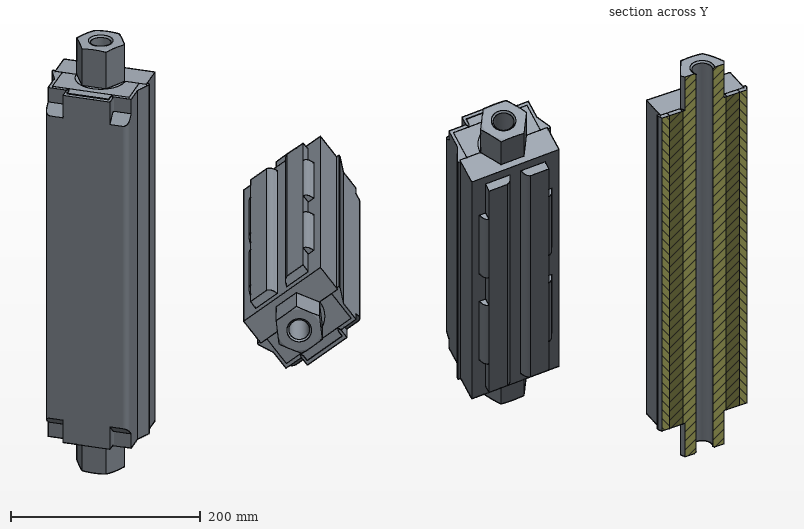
import cadquery as cq
import math

total_length = 500.0
housing_length = 412.0

hex_across_flats = 46.0
hex_across_corners = hex_across_flats / math.cos(math.pi / 6)
hex_top_diameter = hex_across_flats
hex_chamfer_drop = 1.0
bore_diameter = 22.0
bore_chamfer = 2.0
journal_diameter = 54.0

block_width = 101.0
block_back = 30.5

insert_width = 85.0
insert_front = -34.5

cover_width = 92.0
cover_front = -49.5
cover_corner_radius = 6.0
wing_span = 107.0
wing_back = 2.0
wing_bend = -0.5
wing_root = -16.5

notch_inner_x = 26.0
notch_back = -38.5
notch_floor_length = 17.0
notch_length = 27.5
notch_corner_radius = 1.5

lip_side_inset = 3.0
lip_front_inset = 4.5
lip_flare = 1.5
lip_drop = 1.0

pad_back = 39.5
pad_half_length = 192.5
pad_end_draft = 1.5
pad_outer_x = 34.5
pad_inner_x = 6.0

pad_edge_run = 7.5
pad_arc_drop = 6.0
pad_arc_run = 6.0
pad_arc_mid_drop = 2.5
pad_arc_mid_run = 4.0

lobe_outer_x = pad_outer_x + pad_edge_run
lobe_start = 26.0
lobe_end = 137.5


def extrude_centred(sketch, length):
    """Extrude an XY outline symmetrically about Z = 0."""
    return sketch.extrude(length / 2, both=True)


def make_bar():
    """Hexagonal bar with chamfered ends, a through bore and a half-round journal in the housing."""
    bar = extrude_centred(cq.Workplane("XY").polygon(6, hex_across_corners), total_length)
    half = total_length / 2
    corner_radius = hex_across_corners / 2
    end_cone = (
        cq.Workplane("XZ")
        .moveTo(0, -half)
        .lineTo(hex_top_diameter / 2, -half)
        .lineTo(corner_radius, -half + hex_chamfer_drop)
        .lineTo(corner_radius, half - hex_chamfer_drop)
        .lineTo(hex_top_diameter / 2, half)
        .lineTo(0, half)
        .close()
        .revolve(360, (0, 0, 0), (0, 1, 0))
    )
    bar = bar.intersect(end_cone).union(make_half_journal())
    bore = extrude_centred(cq.Workplane("XY").circle(bore_diameter / 2), total_length)
    bar = bar.cut(bore)
    bore_rims = cq.selectors.RadiusNthSelector(0)
    return bar.faces("<Z or >Z").edges("%CIRCLE").edges(bore_rims).chamfer(bore_chamfer)


def make_half_journal():
    """Half cylinder on the -Y side, as long as the housing."""
    radius = journal_diameter / 2
    outline = cq.Workplane("XY").moveTo(-radius, 0).threePointArc((0, -radius), (radius, 0)).close()
    return extrude_centred(outline, housing_length)


def make_block():
    """Rear block with a half-hexagonal groove for the bar."""
    block = extrude_centred(
        cq.Workplane("XY").center(0, block_back / 2).rect(block_width, block_back), housing_length)
    groove = extrude_centred(cq.Workplane("XY").polygon(6, hex_across_corners), housing_length)
    return block.cut(groove)


def make_insert():
    """Rectangular insert between the bar and the cover."""
    depth = -insert_front
    insert = extrude_centred(
        cq.Workplane("XY").center(0, -depth / 2).rect(insert_width, depth), housing_length)
    return insert.cut(make_half_journal())


def make_cover():
    """Channel-shaped cover with side wings lapping the block and notched front corners."""
    right = [
        (cover_width / 2, cover_front),
        (cover_width / 2, wing_root),
        (wing_span / 2, wing_bend),
        (wing_span / 2, wing_back),
        (block_width / 2, wing_back),
        (block_width / 2, 0),
        (insert_width / 2, 0),
        (insert_width / 2, insert_front),
    ]
    left = [(-x, y) for x, y in reversed(right)]
    cover = extrude_centred(cq.Workplane("XY").polyline(right + left).close(), housing_length)
    cover = cover.edges("|Z and <Y").fillet(cover_corner_radius)
    for end in (-1, 1):
        cover = cover.cut(make_tab_relief(end))
        for side in (-1, 1):
            cover = cover.cut(make_notch(side, end))
    return cover


def make_notch(side, end):
    """Corner notch with a sloping floor, at the given X side and Z end."""
    tip = end * housing_length / 2
    notch_width = cover_width / 2 - notch_inner_x
    notch = (
        cq.Workplane("YZ", origin=(side * notch_inner_x, 0, 0))
        .moveTo(cover_front, tip)
        .lineTo(notch_back, tip)
        .lineTo(notch_back, tip - end * notch_floor_length)
        .lineTo(cover_front, tip - end * notch_length)
        .close()
        .extrude(side * notch_width)
    )
    inner_corner = cq.selectors.NearestToPointSelector(
        (side * notch_inner_x, notch_back, tip - end * notch_floor_length / 2))
    return notch.edges(inner_corner).fillet(notch_corner_radius)


def make_tab_relief(end):
    """Shallow step around the free edges of the tab between the two notches of one end."""
    tip = end * housing_length / 2
    core_x = notch_inner_x - lip_side_inset
    core_front = cover_front + lip_front_inset
    return (
        cq.Workplane("XY", origin=(0, 0, tip))
        .polyline([
            (-notch_inner_x, notch_back),
            (-notch_inner_x, cover_front),
            (notch_inner_x, cover_front),
            (notch_inner_x, notch_back),
            (core_x + lip_flare, insert_front),
            (core_x, notch_back),
            (core_x, core_front),
            (-core_x, core_front),
            (-core_x, notch_back),
            (-core_x - lip_flare, insert_front),
        ])
        .close()
        .extrude(-end * lip_drop)
    )


def make_pad(side):
    """Rear pad with a rounded inner edge and two rounded lobes on its outer edge."""
    arc_mid_y = pad_back - pad_arc_mid_drop
    arc_end_y = pad_back - pad_arc_drop
    flat_start = pad_inner_x + pad_edge_run
    body = extrude_centred(
        cq.Workplane("XY")
        .moveTo(side * pad_outer_x, block_back)
        .lineTo(side * pad_outer_x, pad_back)
        .lineTo(side * flat_start, pad_back)
        .threePointArc(
            (side * (flat_start - pad_arc_mid_run), arc_mid_y),
            (side * (flat_start - pad_arc_run), arc_end_y))
        .lineTo(side * pad_inner_x, block_back)
        .close(),
        2 * pad_half_length,
    )
    rear_half_length = pad_half_length - pad_end_draft
    drafted_ends = (
        cq.Workplane("YZ")
        .polyline([
            (block_back, -pad_half_length),
            (pad_back, -rear_half_length),
            (pad_back, rear_half_length),
            (block_back, pad_half_length),
        ])
        .close()
        .extrude(side * lobe_outer_x)
    )
    pad = body.intersect(drafted_ends)
    for lobe_base in (-lobe_end, lobe_start):
        lobe = (
            cq.Workplane("XY", origin=(0, 0, lobe_base))
            .moveTo(side * pad_outer_x, block_back)
            .lineTo(side * pad_outer_x, pad_back)
            .threePointArc(
                (side * (pad_outer_x + pad_arc_mid_run), arc_mid_y),
                (side * (pad_outer_x + pad_arc_run), arc_end_y))
            .lineTo(side * lobe_outer_x, block_back)
            .close()
            .extrude(lobe_end - lobe_start)
        )
        pad = pad.union(lobe)
    return pad


bar = make_bar()
block = make_block()
insert = make_insert()
cover = make_cover()
pads = [make_pad(side) for side in (-1, 1)]

result = cq.Compound.makeCompound(
    [bar.val(), block.val(), insert.val(), cover.val(), *[pad.val() for pad in pads]])